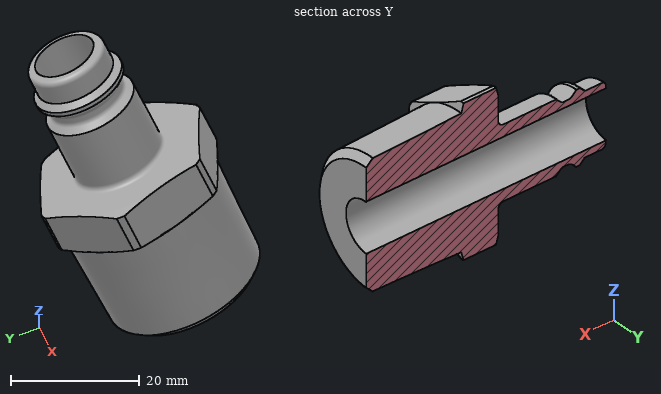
import cadquery as cq
import math

total_length = 48.0
hex_start = 21.5
hex_width = 7.5
hex_end = hex_start + hex_width

bore_diameter = 10.0
tip_diameter = 13.0
tip_round = 1.0
shank_diameter = 15.0
collar_start = 4.25
collar_end = 6.0
shank_root_fillet = 1.0

flank_angle = 45.0
groove_diameter = 12.65
groove_end = 10.0
groove_fillet = 1.0

across_flats = 27.0
hex_corner_diameter = 30.45
corner_chamfer_angle = 15.0

taper_start_diameter = 27.0
taper_ratio = 1 / 16
end_chamfer = 1.3


def revolve_about_x(profile):
    return profile.revolve(360, (0, 0, 0), (1, 0, 0))


def plug_end():
    tip_r = tip_diameter / 2
    shank_r = shank_diameter / 2
    groove_r = groove_diameter / 2
    collar_rise = shank_r - tip_r

    fillet_run = groove_fillet * math.sin(math.radians(flank_angle))
    fillet_rise = groove_fillet * (1 - math.cos(math.radians(flank_angle)))
    flank_drop = shank_r - groove_r - fillet_rise
    flank_run = flank_drop / math.tan(math.radians(flank_angle))
    fillet_mid_run = groove_fillet * math.sin(math.radians(flank_angle / 2))
    fillet_mid_rise = groove_fillet * (1 - math.cos(math.radians(flank_angle / 2)))
    floor_start = collar_end + flank_run + fillet_run
    floor_end = groove_end - flank_run - fillet_run

    profile = (
        cq.Workplane("XY")
        .moveTo(0, 0)
        .lineTo(0, tip_r - tip_round)
        .radiusArc((tip_round, tip_r), tip_round)
        .lineTo(collar_start, tip_r)
        .lineTo(collar_start + collar_rise, shank_r)
        .lineTo(collar_end, shank_r)
        .lineTo(collar_end + flank_run, shank_r - flank_drop)
        .threePointArc(
            (floor_start - fillet_mid_run, groove_r + fillet_mid_rise),
            (floor_start, groove_r),
        )
        .lineTo(floor_end, groove_r)
        .threePointArc(
            (floor_end + fillet_mid_run, groove_r + fillet_mid_rise),
            (groove_end - flank_run, shank_r - flank_drop),
        )
        .lineTo(groove_end, shank_r)
        .lineTo(hex_start - shank_root_fillet, shank_r)
        .radiusArc((hex_start, shank_r + shank_root_fillet), -shank_root_fillet)
        .lineTo(hex_start, 0)
        .close()
    )
    return revolve_about_x(profile)


def hexagon():
    prism = (
        cq.Workplane("YZ", origin=(hex_start, 0, 0))
        .polygon(6, across_flats, circumscribed=True)
        .extrude(hex_width)
    )
    flat_r = across_flats / 2
    corner_r = hex_corner_diameter / 2
    chamfer_run = (corner_r - flat_r) * math.tan(math.radians(corner_chamfer_angle))
    turned_blank = (
        cq.Workplane("XY")
        .moveTo(hex_start, 0)
        .lineTo(hex_start, flat_r)
        .lineTo(hex_start + chamfer_run, corner_r)
        .lineTo(hex_end - chamfer_run, corner_r)
        .lineTo(hex_end, flat_r)
        .lineTo(hex_end, 0)
        .close()
    )
    return prism.intersect(revolve_about_x(turned_blank))


def threaded_end():
    start_r = taper_start_diameter / 2
    taper_end = total_length - end_chamfer
    taper_end_r = start_r - (taper_end - hex_end) * taper_ratio / 2
    profile = (
        cq.Workplane("XY")
        .moveTo(hex_end, 0)
        .lineTo(hex_end, start_r)
        .lineTo(taper_end, taper_end_r)
        .lineTo(total_length, taper_end_r - end_chamfer)
        .lineTo(total_length, 0)
        .close()
    )
    return revolve_about_x(profile)


def bore():
    return cq.Workplane("YZ").circle(bore_diameter / 2).extrude(total_length)


result = plug_end().union(hexagon()).union(threaded_end()).cut(bore())